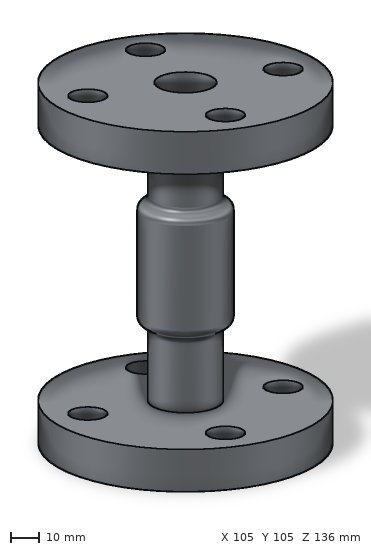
import cadquery as cq
import math

total_length = 136.0
flange_diameter = 105.0
flange_thickness = 16.0
bolt_circle_diameter = 75.1
bolt_hole_diameter = 14.0
bolt_count = 4
first_bolt_angle = 45
pipe_diameter = 26.9
bore_diameter = 22.2
sleeve_diameter = 34.5
sleeve_straight_length = 39.7
shoulder_length = 5.7
convex_length = 3.1

half_length = total_length / 2
flange_inner_z = half_length - flange_thickness
flange_radius = flange_diameter / 2
pipe_radius = pipe_diameter / 2
sleeve_radius = sleeve_diameter / 2
straight_end_z = sleeve_straight_length / 2
shoulder_end_z = straight_end_z + shoulder_length

concave_length = shoulder_length - convex_length
shoulder_step = sleeve_radius - pipe_radius
arc_joint_radius = pipe_radius + shoulder_step * concave_length / shoulder_length
arc_joint_z = straight_end_z + convex_length
arc_angle = 2 * math.atan(shoulder_step / shoulder_length)
convex_radius = convex_length / math.sin(arc_angle)
concave_radius = concave_length / math.sin(arc_angle)


def make_flange(bottom_z):
    """Round flange with its bolt holes on the diagonals."""
    return (
        cq.Workplane("XY", origin=(0, 0, bottom_z))
        .circle(flange_radius)
        .extrude(flange_thickness)
        .faces(">Z")
        .workplane()
        .polarArray(bolt_circle_diameter / 2, first_bolt_angle, 360, bolt_count)
        .hole(bolt_hole_diameter)
    )


def make_pipe_with_sleeve():
    """Pipe between the flanges, swelling smoothly into the thicker middle sleeve."""
    return (
        cq.Workplane("XZ")
        .moveTo(0, -flange_inner_z)
        .lineTo(pipe_radius, -flange_inner_z)
        .lineTo(pipe_radius, -shoulder_end_z)
        .radiusArc((arc_joint_radius, -arc_joint_z), concave_radius)
        .radiusArc((sleeve_radius, -straight_end_z), -convex_radius)
        .lineTo(sleeve_radius, straight_end_z)
        .radiusArc((arc_joint_radius, arc_joint_z), -convex_radius)
        .radiusArc((pipe_radius, shoulder_end_z), concave_radius)
        .lineTo(pipe_radius, flange_inner_z)
        .lineTo(0, flange_inner_z)
        .close()
        .revolve(360, (0, 0, 0), (0, 1, 0))
    )


body = make_pipe_with_sleeve()
for flange_bottom_z in (-half_length, flange_inner_z):
    body = body.union(make_flange(flange_bottom_z))

bore = cq.Workplane("XY", origin=(0, 0, -half_length)).circle(bore_diameter / 2).extrude(total_length)
result = body.cut(bore)